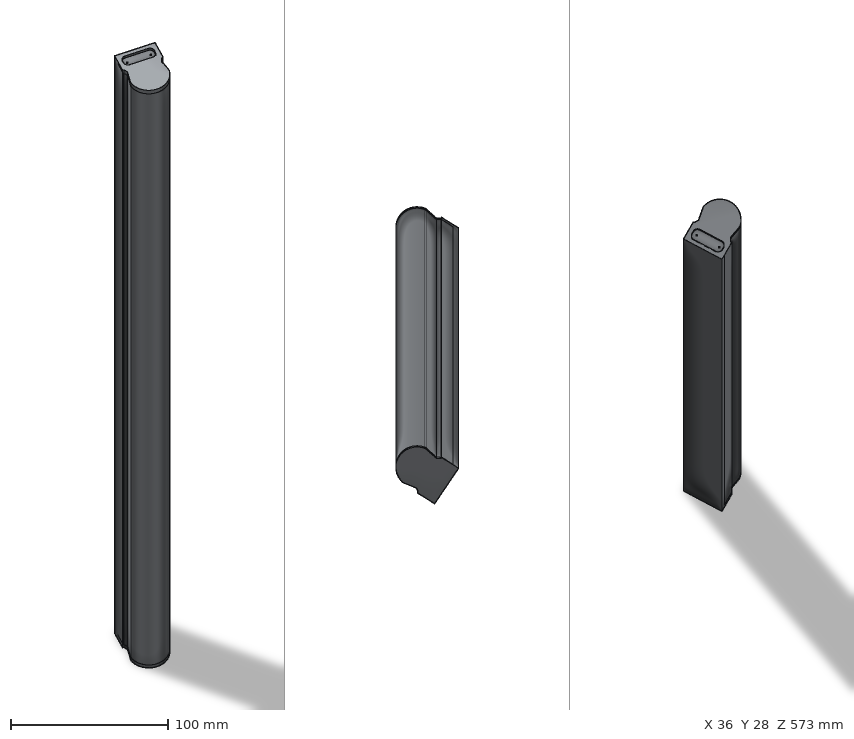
import cadquery as cq
import math

length = 573.0
depth = 36.0
base_width = 28.0
base_depth = 13.0

neck_x = 15.5
neck_angle = math.radians(30)

flare_angle = math.radians(10)
crown_radius = 13.5
crown_center_x = depth - crown_radius
crown_start_angle = math.radians(12)
shoulder_radius = 3.5

bottom_cap = 3.0
top_cap = 3.5
lens_top = length - top_cap

channel_floor = 4.0
channel_wall = 0.5
channel_width = base_width - 2 * channel_wall

recess_center_x = 6.7
recess_size_x = 7.8
recess_size_y = 22.0
recess_corner_radius = 3.0
recess_depth = 2.0
hole_diameter = 1.0
hole_spacing = 16.4


def arc_point(center, radius, angle):
    """Point on an arc, with the angle measured from +Y towards +X."""
    return (center[0] + radius * math.sin(angle), center[1] + radius * math.cos(angle))


def mirrored(point):
    """The same point on the -Y side."""
    return (point[0], -point[1])


def block(back_x, front_x, width, bottom, top):
    """Box centred on Y = 0."""
    return (
        cq.Workplane("XY", origin=((back_x + front_x) / 2, 0, bottom))
        .rect(front_x - back_x, width)
        .extrude(top - bottom)
    )


def neck_and_lens(bottom, top):
    """Neck and D-shaped lens section, extruded from the front of the base outwards."""
    crown_center = (crown_center_x, 0)
    crown_start = arc_point(crown_center, crown_radius, crown_start_angle)
    shoulder_center = arc_point(crown_center, crown_radius - shoulder_radius, crown_start_angle)
    shoulder_start = arc_point(shoulder_center, shoulder_radius, -flare_angle)
    shoulder_middle_angle = (crown_start_angle - flare_angle) / 2
    shoulder_middle = arc_point(shoulder_center, shoulder_radius, shoulder_middle_angle)
    flank_rise = (shoulder_start[0] - neck_x) * math.tan(flare_angle)
    flank_start = (neck_x, shoulder_start[1] - flank_rise)
    neck_drop = (neck_x - base_depth) * math.tan(neck_angle)
    neck_root = (base_depth, flank_start[1] + neck_drop)
    return (
        cq.Workplane("XY", origin=(0, 0, bottom))
        .moveTo(*mirrored(neck_root))
        .lineTo(*mirrored(flank_start))
        .lineTo(*mirrored(shoulder_start))
        .threePointArc(mirrored(shoulder_middle), mirrored(crown_start))
        .threePointArc((depth, 0), crown_start)
        .threePointArc(shoulder_middle, shoulder_start)
        .lineTo(*flank_start)
        .lineTo(*neck_root)
        .close()
        .extrude(top - bottom)
    )


def channel_block(bottom, top):
    """The space inside the channel of the base."""
    return block(channel_floor, base_depth, channel_width, bottom, top)


def end_recess():
    """Rounded recess at the upper end, with holes through the rest of the end cap."""
    top_plane = cq.Workplane("XY", origin=(recess_center_x, 0, length))
    recess = (
        top_plane.rect(recess_size_x, recess_size_y)
        .extrude(-recess_depth)
        .edges("|Z")
        .fillet(recess_corner_radius)
    )
    holes = (
        top_plane.pushPoints([(0, side * hole_spacing / 2) for side in (-1, 1)])
        .circle(hole_diameter / 2)
        .extrude(-top_cap)
    )
    return recess.union(holes)


def make_housing():
    """Channel-shaped base with an end cap of the full outline at each end."""
    body = block(0, base_depth, base_width, 0, length)
    body = body.cut(channel_block(bottom_cap, lens_top))
    for bottom, top in ((0, bottom_cap), (lens_top, length)):
        body = body.union(neck_and_lens(bottom, top))
    return body.cut(end_recess())


def make_lens():
    """Lens whose foot fills the channel between the end caps."""
    return neck_and_lens(bottom_cap, lens_top).union(channel_block(bottom_cap, lens_top))


housing = make_housing()
lens = make_lens()

result = cq.Compound.makeCompound([housing.solids().val(), lens.solids().val()])